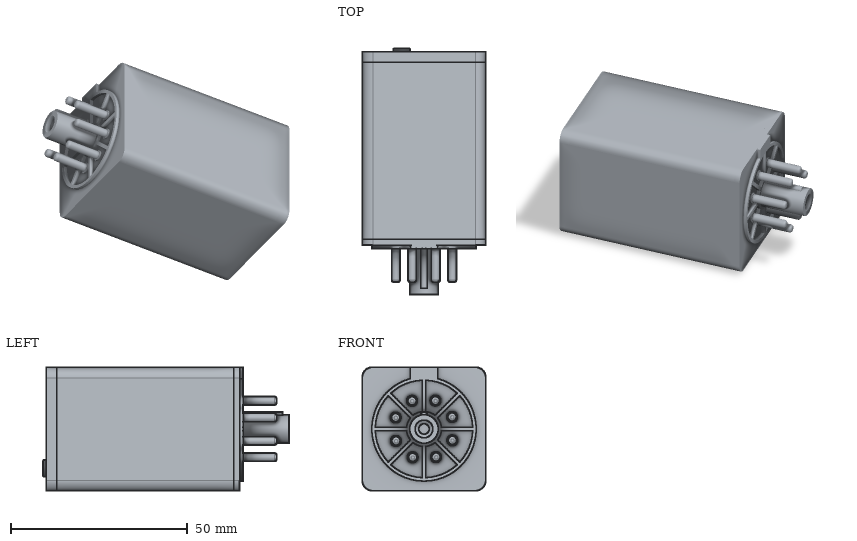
import cadquery as cq
import math

WIDTH = 35.0
CORNER_RADIUS = 3.0

BUTTON_HEIGHT = 0.9
CAP_THICKNESS = 3.0
COVER_LENGTH = 50.05
FLANGE_THICKNESS = 1.7
DISC_THICKNESS = 1.0
POST_LENGTH = 13.0

PIN_COUNT = 8
DISC_RADIUS = 14.75
POCKET_OUTER_RADIUS = 13.8
HUB_RADIUS = 4.95
SPOKE_WIDTH = 1.05
POCKET_DEPTH = DISC_THICKNESS
TAB_WIDTH = 7.8
TAB_CORNER_RADIUS = 0.35

PIN_CIRCLE_RADIUS = 8.6
FIRST_PIN_ANGLE = 23.1
PIN_RADIUS = 1.2
PIN_LENGTH = 9.55
PIN_TIP_RADIUS = 0.7
COLLAR_RADIUS = 1.5
COLLAR_HEIGHT = 0.5

POST_RADIUS = 4.05
KEY_RADIUS = 1.0
KEY_TOP = 4.8
KEY_END_SETBACK = 1.8
COUNTERSINK_RADIUS = 2.5
COUNTERSINK_FLOOR_RADIUS = 1.45
COUNTERSINK_DEPTH = 0.85

BUTTON_RADIUS = 2.45
BUTTON_X = -6.3
BUTTON_Z = -11.15
BUTTON_EDGE_RADIUS = 0.5

DISC_FACE = -DISC_THICKNESS
POCKET_FLOOR = DISC_FACE + POCKET_DEPTH
POST_END = DISC_FACE - POST_LENGTH
PIN_END = DISC_FACE - PIN_LENGTH
KEY_END = POST_END + KEY_END_SETBACK
COVER_FRONT = FLANGE_THICKNESS
CAP_FRONT = COVER_FRONT + COVER_LENGTH
CAP_BACK = CAP_FRONT + CAP_THICKNESS


def plane_at(y):
    """Plane square to Y whose sketches have X right and Z up, and extrude toward -Y."""
    return cq.Workplane("XZ", origin=(0, y, 0))


def rounded_block(front, back):
    """Square slab with rounded long edges, between two Y positions."""
    return plane_at(back).rect(WIDTH, WIDTH).extrude(back - front).edges("|Y").fillet(CORNER_RADIUS)


def cylinder(radius, front, back, x=0.0, z=0.0):
    """Round bar along Y, between two Y positions."""
    return plane_at(back).center(x, z).circle(radius).extrude(back - front)


def make_disc():
    """Raised disc with a tab that reaches the top of the flange."""
    tab = (
        plane_at(0)
        .center(0, WIDTH / 4)
        .rect(TAB_WIDTH, WIDTH / 2)
        .extrude(DISC_THICKNESS)
        .edges("|Y and >Z")
        .fillet(TAB_CORNER_RADIUS)
    )
    return cylinder(DISC_RADIUS, DISC_FACE, 0).union(tab)


def make_pockets():
    """Ring between hub and rim, divided by the spokes."""
    ring = cylinder(POCKET_OUTER_RADIUS, DISC_FACE, POCKET_FLOOR).cut(
        cylinder(HUB_RADIUS, DISC_FACE, POCKET_FLOOR)
    )
    spoke = plane_at(POCKET_FLOOR).rect(2 * DISC_RADIUS, SPOKE_WIDTH).extrude(POCKET_DEPTH)
    for index in range(PIN_COUNT // 2):
        ring = ring.cut(spoke.rotate((0, 0, 0), (0, 1, 0), index * 360 / PIN_COUNT))
    return ring


def make_pin(x, z):
    """Contact pin with a rounded tip, standing on a low collar."""
    pin = cylinder(PIN_RADIUS, PIN_END, POCKET_FLOOR, x, z).faces("<Y").edges().fillet(PIN_TIP_RADIUS)
    return pin.union(cylinder(COLLAR_RADIUS, POCKET_FLOOR - COLLAR_HEIGHT, POCKET_FLOOR, x, z))


def make_post():
    """Central post with a rounded key along its top and a countersink in its end."""
    post = cylinder(POST_RADIUS, POST_END, DISC_FACE)
    key = cylinder(KEY_RADIUS, KEY_END, DISC_FACE, z=KEY_TOP - KEY_RADIUS)
    countersink = (
        plane_at(POST_END + COUNTERSINK_DEPTH)
        .circle(COUNTERSINK_FLOOR_RADIUS)
        .workplane(offset=COUNTERSINK_DEPTH)
        .circle(COUNTERSINK_RADIUS)
        .loft()
    )
    return post.union(key).cut(countersink)


def make_base():
    """Flange, disc, pins and post as one moulded base."""
    base = rounded_block(0, COVER_FRONT).union(make_disc()).cut(make_pockets())
    for index in range(PIN_COUNT):
        angle = math.radians(FIRST_PIN_ANGLE + index * 360 / PIN_COUNT)
        x = PIN_CIRCLE_RADIUS * math.cos(angle)
        z = PIN_CIRCLE_RADIUS * math.sin(angle)
        base = base.union(make_pin(x, z))
    return base.union(make_post())


def make_button():
    """Round button with a rounded rim on its outer face."""
    button = cylinder(BUTTON_RADIUS, CAP_BACK, CAP_BACK + BUTTON_HEIGHT, BUTTON_X, BUTTON_Z)
    return button.faces(">Y").edges().fillet(BUTTON_EDGE_RADIUS)


base = make_base()
cover = rounded_block(COVER_FRONT, CAP_FRONT)
cap = rounded_block(CAP_FRONT, CAP_BACK)
button = make_button()

result = cq.Compound.makeCompound([base.val(), cover.val(), cap.val(), button.val()])